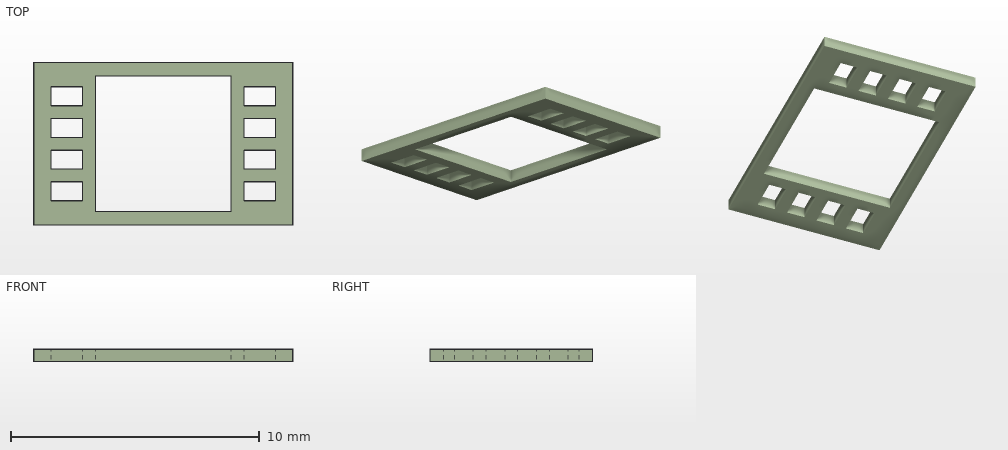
import cadquery as cq

length = 10.43
width = 6.54
thickness = 0.5

window_side = 5.44

slot_length = 1.26
slot_width = 0.75
slot_pitch = 1.27
slots_per_column = 4
column_spacing = 7.76

plate = cq.Workplane("XY").box(length, width, thickness)

window = cq.Workplane("XY").rect(window_side, window_side).extrude(thickness, both=True)

slots = (
    cq.Workplane("XY")
    .rarray(column_spacing, slot_pitch, 2, slots_per_column)
    .rect(slot_length, slot_width)
    .extrude(thickness, both=True)
)

result = plate.cut(window).cut(slots)